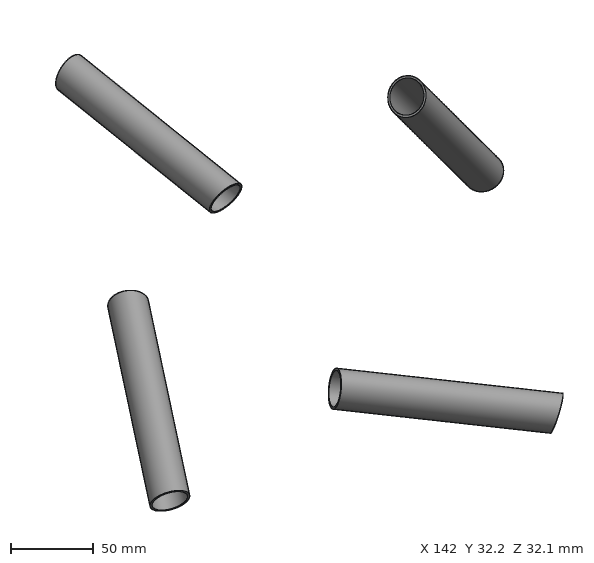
import cadquery as cq

outer_diameter = 25.0
inner_diameter = 22.2

axis_length_x = 138.0
axis_drift_y = -7.2
axis_drift_z = -7.2

start_slope_y = -0.03
start_slope_z = 0.007
end_slope_y = 0.11
end_slope_z = 0.27

overrun = 14.2
cutter_size = 4 * outer_diameter

axis_start = cq.Vector(0, 0, 0)
axis_end = cq.Vector(axis_length_x, axis_drift_y, axis_drift_z)
axis_direction = axis_end.normalized()


def overlong_tube():
    """Hollow tube along the slanted axis, longer than the part at both ends."""
    plane = cq.Plane(origin=axis_direction * -overrun, normal=axis_direction)
    length = axis_end.Length + 2 * overrun
    return (
        cq.Workplane(plane)
        .circle(outer_diameter / 2)
        .circle(inner_diameter / 2)
        .extrude(length)
    )


def mitre_cutter(point, slope_y, slope_z, side):
    """Block beyond a sloped plane through point; side is +1 or -1 along X."""
    normal = cq.Vector(1, -slope_y, -slope_z) * side
    plane = cq.Plane(origin=point, normal=normal)
    return cq.Workplane(plane).rect(cutter_size, cutter_size).extrude(cutter_size)


start_cutter = mitre_cutter(axis_start, start_slope_y, start_slope_z, -1)
end_cutter = mitre_cutter(axis_end, end_slope_y, end_slope_z, 1)

result = overlong_tube().cut(start_cutter).cut(end_cutter)